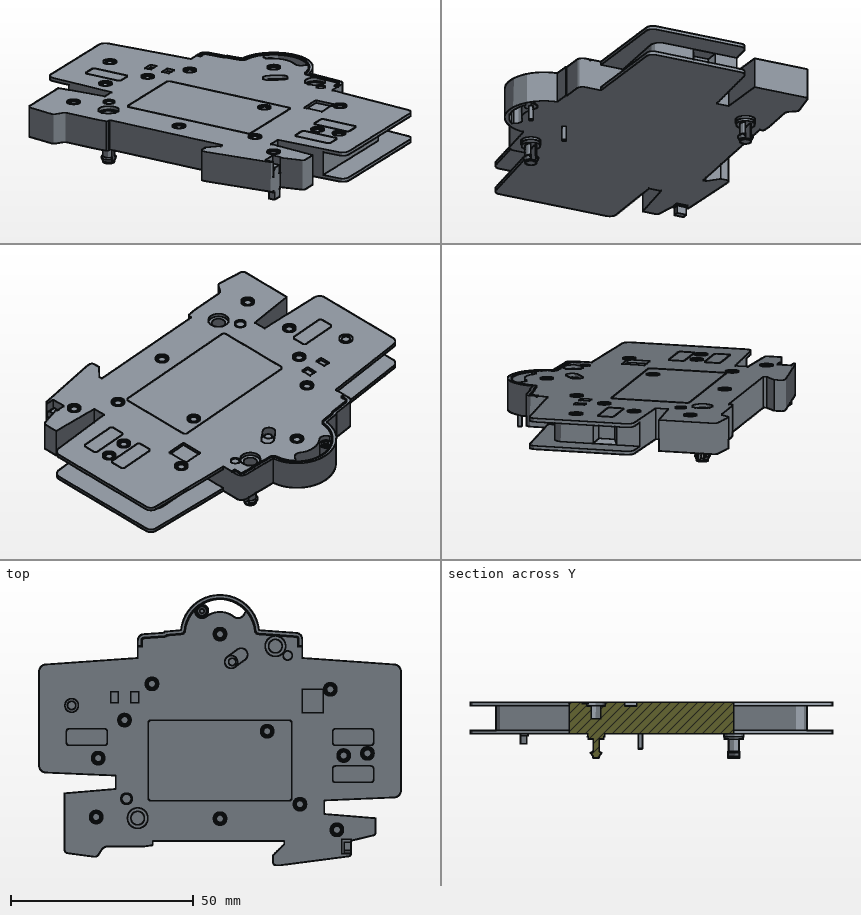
import cadquery as cq
import math

THICK = 8.7
WALL = 1.0
X_TIP = 49.5
FOOT_X = 42.55
HOOD_X = 22.5
WING_TOP_INNER_Y = 50.1
WING_TOP_OUTER_Y = 48.2
WING_CORNER_R = 2.0
SHOULDER_LEFT_Y = 56.5
SHOULDER_RIGHT_Y = 56.85
SHOULDER_R = 1.8

LEFT_WING_BOTTOM_Y = 18.8
RIGHT_WING_BOTTOM_Y = 12.0
SLOT_X = 28.5

RIGHT_FOOT_CORNER = (FOOT_X, 1.7)
LEFT_FOOT_CORNER = (-FOOT_X, -3.2)
LEFT_TOE = (-33.7, -4.4)
LEFT_STEP_Y = -1.5
HOOK_OUTER_X = 35.85
HOOK_OUTER_CORNER = (HOOK_OUTER_X, -4.1)
HOOK_TIP = (14.45, -6.62)
HOOK_FLAT_END_X = 16.5

PIVOT_Y = 56.6
HOOD_R = 10.74
HOOD_WALL = 1.2
HOOD_BASE_Y = 57.7
HOOD_BASE_X = math.sqrt(HOOD_R**2 - (HOOD_BASE_Y - PIVOT_Y)**2)
SHOULDER_STEP_X = -15.3
SHOULDER_STEP_LOW = 57.0
SHOULDER_STEP_HIGH = 57.3

CORE_TOP_Y = 43.4
CORE_CORNER_R = 3.0
GAP_BOTTOM_Y = 10.0
GAP_MARGIN = 5.0

LENS_END_Y = 53.2
LENS_WIDTH = 0.95
SEAM = 0.25
LABEL_DEPTH = 0.1
LABEL_R = 0.7
PLATE_R = 0.8
WINDOW_DEPTH = 0.8
RIVET_RADII = (1.8, 1.45, 1.05)
RIVETS = [
    (0, PIVOT_Y), (-18.6, 43.0), (-26.1, 33.1), (-33.3, 22.7), (-33.85, 6.6), (0, 6.15),
    (21.85, 10.1), (31.95, 3.1), (12.9, 30.05), (30.15, 41.5), (33.8, 23.4), (40.3, 24.0),
]

WINDOWS = [
    (22.5, 28.2, 35.15, 41.5),
    (-29.8, -27.85, 37.8, 40.8),
    (-24.4, -22.2, 37.8, 40.8),
]
RATING_PLATE = (0, 22.05, 39.2, 22.1)
TERMINAL_LABELS = [(-36.4, 28.45), (36.4, 28.45), (36.4, 18.3)]
TERMINAL_LABEL_SIZE = (11.15, 4.5)
DIMPLE_DEPTH = 0.4
DIMPLES = [
    (-40.55, 37.1, 1.15, 1.85),
    (-25.55, 11.6, 1.3, 1.55),
    (18.5, 50.75, 1.25, 1.25),
]

TOGGLE_R = 8.0
TOGGLE_HALF_WIDTH = 1.9
TOGGLE_ANGLE = 38.0
TOGGLE_OUTER_ANGLE = 49.0
PIN_R = 0.62
PIN_END_Z = -4.15
TRIP_PIN = (3.05, 49.0)
TRIP_SLOT_R = 1.75
TRIP_SLOT_SHIFT = (2.75, 2.0)

SNAP_PINS = [(-22.5, 6.3), (15.15, 53.3)]
TOTAL_HEIGHT = 15.3
SNAP_END_Z = THICK - TOTAL_HEIGHT
SNAP_R = 1.62
SNAP_SLOT = 1.4
COLLAR_R = 2.75
COLLAR_Z = -1.45

PARTING_Z = 4.2
NOTCH_X = 33.25
NOTCH_LOW_Y = -3.5
NOTCH_HIGH_Y = 0.5


def at_z(z):
    return cq.Workplane("XY").workplane(offset=z)


def cylinder(x, y, z_low, z_high, radius):
    return at_z(z_low).center(x, y).circle(radius).extrude(z_high - z_low)


def box(x_low, x_high, y_low, y_high, z_low, z_high):
    size = (x_high - x_low, y_high - y_low, z_high - z_low)
    return cq.Workplane("XY").box(*size, centered=False).translate((x_low, y_low, z_low))


def round_upright_edge(solid, x, y, radius):
    """Round the one upright edge that stands at (x, y)."""
    edge = solid.edges("|Z").edges(cq.selectors.NearestToPointSelector((x, y, THICK / 2)))
    return edge.fillet(radius)


def recess(x, y, depth, radius):
    """Round recess cutter in the top face."""
    return cylinder(x, y, THICK - depth, THICK, radius)


def hood_edge(path):
    """Continue a path along the hood, from its left shoulder to its right shoulder."""
    return (
        path.lineTo(-HOOD_X, SHOULDER_LEFT_Y)
        .lineTo(SHOULDER_STEP_X, SHOULDER_STEP_LOW)
        .lineTo(SHOULDER_STEP_X, SHOULDER_STEP_HIGH)
        .lineTo(-HOOD_BASE_X, HOOD_BASE_Y)
        .threePointArc((0, PIVOT_Y + HOOD_R), (HOOD_BASE_X, HOOD_BASE_Y))
        .lineTo(HOOD_X, SHOULDER_RIGHT_Y)
    )


def housing():
    """Full-thickness housing with wings, hood, left foot and rail hook."""
    outline = (
        cq.Workplane("XY")
        .moveTo(-X_TIP, WING_TOP_OUTER_Y)
        .lineTo(-HOOD_X, WING_TOP_INNER_Y)
    )
    outline = (
        hood_edge(outline)
        .lineTo(HOOD_X, WING_TOP_INNER_Y)
        .lineTo(X_TIP, WING_TOP_OUTER_Y)
        .lineTo(X_TIP, RIGHT_WING_BOTTOM_Y)
        .lineTo(SLOT_X, 11.1)
        .lineTo(SLOT_X, 7.45)
        .lineTo(FOOT_X, 6.3)
        .lineTo(*RIGHT_FOOT_CORNER)
        .lineTo(HOOK_OUTER_X, 0.1)
        .lineTo(*HOOK_OUTER_CORNER)
        .lineTo(HOOK_FLAT_END_X, HOOK_TIP[1])
        .lineTo(*HOOK_TIP)
        .lineTo(HOOK_TIP[0], -3.9)
        .lineTo(17.5, -0.9)
        .lineTo(17.5, 0)
        .lineTo(-18.35, 0)
        .lineTo(-18.35, -0.9)
        .lineTo(-18.7, -1.2)
        .lineTo(-20.9, LEFT_STEP_Y)
        .lineTo(-30.65, LEFT_STEP_Y)
        .threePointArc((-31.7, -1.75), (-32.4, -2.5))
        .lineTo(*LEFT_TOE)
        .lineTo(*LEFT_FOOT_CORNER)
        .lineTo(-FOOT_X, 13.1)
        .lineTo(-SLOT_X, 14.3)
        .lineTo(-SLOT_X, 17.9)
        .lineTo(-X_TIP, LEFT_WING_BOTTOM_Y)
        .close()
    )
    solid = outline.extrude(THICK)
    corners = [
        (-X_TIP, WING_TOP_OUTER_Y, WING_CORNER_R),
        (-X_TIP, LEFT_WING_BOTTOM_Y, WING_CORNER_R),
        (X_TIP, WING_TOP_OUTER_Y, WING_CORNER_R),
        (X_TIP, RIGHT_WING_BOTTOM_Y, WING_CORNER_R),
        (-HOOD_X, SHOULDER_LEFT_Y, SHOULDER_R),
        (HOOD_X, SHOULDER_RIGHT_Y, SHOULDER_R),
        (*RIGHT_FOOT_CORNER, 0.8),
        (*HOOK_OUTER_CORNER, 0.8),
        (*HOOK_TIP, 0.9),
        (*LEFT_FOOT_CORNER, 1.1),
        (*LEFT_TOE, 1.2),
    ]
    for x, y, radius in corners:
        solid = round_upright_edge(solid, x, y, radius)
    return solid


def wing_gap(side):
    """Space between the two wing plates, on the side -1 (left) or +1 (right)."""
    far_x = X_TIP + GAP_MARGIN
    top_y = WING_TOP_INNER_Y + GAP_MARGIN
    half = CORE_CORNER_R * math.sqrt(0.5)
    arc_x = FOOT_X - CORE_CORNER_R
    arc_y = CORE_TOP_Y - CORE_CORNER_R
    profile = (
        at_z(WALL)
        .moveTo(side * far_x, GAP_BOTTOM_Y)
        .lineTo(side * FOOT_X, GAP_BOTTOM_Y)
        .lineTo(side * FOOT_X, arc_y)
        .threePointArc((side * (arc_x + half), arc_y + half), (side * arc_x, CORE_TOP_Y))
        .lineTo(side * HOOD_X, CORE_TOP_Y)
        .lineTo(side * HOOD_X, top_y)
        .lineTo(side * far_x, top_y)
        .close()
    )
    return profile.extrude(THICK - 2 * WALL)


def cable_entry():
    """Tapered square pocket in the left end of the core."""
    mid_y = 28.4
    outer = 6.6
    inner = 4.5
    depth = 2.0
    return (
        cq.Workplane("YZ", origin=(-FOOT_X, mid_y, THICK / 2))
        .rect(outer, outer)
        .workplane(offset=depth)
        .rect(inner, inner)
        .loft()
    )


def lens_seam():
    """Narrow groove that follows the hood edge and runs out at both lower ends."""
    depth_z = THICK - SEAM
    low_y = LENS_END_Y - 4 * LENS_WIDTH

    def hood_region(inset):
        region = hood_edge(at_z(depth_z).moveTo(-HOOD_X, low_y)).lineTo(HOOD_X, low_y).close()
        region = region.offset2D(-inset).extrude(SEAM)
        for x, y in ((-HOOD_X, SHOULDER_LEFT_Y), (HOOD_X, SHOULDER_RIGHT_Y)):
            region = round_upright_edge(region, x, y, SHOULDER_R - inset)
        return region

    groove = hood_region(LENS_WIDTH).cut(hood_region(LENS_WIDTH + SEAM))
    groove = groove.intersect(box(-HOOD_X, HOOD_X, LENS_END_Y, PIVOT_Y + HOOD_R, depth_z, THICK))
    for side in (-1, 1):
        x_ends = sorted((side * HOOD_X, side * (HOOD_X - LENS_WIDTH - SEAM)))
        groove = groove.union(box(*x_ends, LENS_END_Y, LENS_END_Y + SEAM, depth_z, THICK))
    return groove


def toggle_point(angle):
    """Point on the pin path, at an angle in degrees from +Y toward +X."""
    a = math.radians(angle)
    return (TOGGLE_R * math.sin(a), PIVOT_Y + TOGGLE_R * math.cos(a))


def sector(half_angle, radius):
    """Pie slice about the pivot, symmetric about the Y axis."""
    x = radius * math.sin(math.radians(half_angle))
    y = PIVOT_Y + radius * math.cos(math.radians(half_angle))
    slice_face = (
        cq.Workplane("XY")
        .moveTo(0, PIVOT_Y)
        .lineTo(-x, y)
        .threePointArc((0, PIVOT_Y + radius), (x, y))
        .close()
    )
    return slice_face.extrude(THICK)


def toggle_opening():
    """Curved through slot about the pivot, bounded outside by the hood wall."""
    inner_r = TOGGLE_R - TOGGLE_HALF_WIDTH
    opening = sector(TOGGLE_ANGLE, TOGGLE_R).cut(cylinder(0, PIVOT_Y, 0, THICK, inner_r))
    outer = sector(TOGGLE_OUTER_ANGLE, HOOD_R - HOOD_WALL)
    opening = opening.union(outer.cut(cylinder(0, PIVOT_Y, 0, THICK, TOGGLE_R)))
    for angle in (-TOGGLE_ANGLE, TOGGLE_ANGLE):
        x, y = toggle_point(angle)
        opening = opening.union(cylinder(x, y, 0, THICK, TOGGLE_HALF_WIDTH))
    return opening.intersect(cylinder(0, PIVOT_Y, 0, THICK, HOOD_R - HOOD_WALL))


def drive_pin(x, y, z_top):
    return cylinder(x, y, PIN_END_Z, z_top, PIN_R).faces("<Z").chamfer(0.2)


def toggle_boss():
    """Stepped boss at the left end of the toggle opening, with its drive pin below."""
    x, y = toggle_point(-TOGGLE_ANGLE)
    boss_r = 1.75
    inner_r = 1.25
    hole_r = 0.6
    top_z = THICK - WALL
    step = 0.4
    boss = cylinder(x, y, 0, top_z - step, boss_r)
    boss = boss.union(cylinder(x, y, 0, top_z, inner_r))
    boss = boss.cut(cylinder(x, y, top_z - 2 * step, top_z, hole_r))
    return boss.union(drive_pin(x, y, step))


def trip_slot():
    """Shallow oblique slot with a deeper bore around the trip pin."""
    x, y = TRIP_PIN
    shift_x, shift_y = TRIP_SLOT_SHIFT
    slot_depth = 1.0
    bore_depth = 3.0
    slot = (
        at_z(THICK - slot_depth)
        .center(x + shift_x / 2, y + shift_y / 2)
        .transformed(rotate=(0, 0, math.degrees(math.atan2(shift_y, shift_x))))
        .slot2D(math.hypot(shift_x, shift_y) + 2 * TRIP_SLOT_R, 2 * TRIP_SLOT_R)
        .extrude(slot_depth)
    )
    bore = recess(x, y, bore_depth, TRIP_SLOT_R)
    stub_r = 1.0
    stub_x = x + 0.3
    stub = cylinder(stub_x, y, THICK - bore_depth, THICK - 1.5 * slot_depth, stub_r)
    return slot.union(bore).cut(stub)


def rivet_recess(x, y):
    """Round recess in three concentric steps, deepest in the middle."""
    step = 0.15
    cutter = recess(x, y, step, RIVET_RADII[0])
    for level, radius in enumerate(RIVET_RADII[1:], start=2):
        cutter = cutter.union(recess(x, y, level * step, radius))
    return cutter


def rounded_recess(x, y, length, width, corner_r):
    """Very shallow label field."""
    field = at_z(THICK - LABEL_DEPTH).center(x, y).rect(length, width).extrude(LABEL_DEPTH)
    return field.edges("|Z").fillet(corner_r)


def window(x_low, x_high, y_low, y_high):
    return box(x_low, x_high, y_low, y_high, THICK - WINDOW_DEPTH, THICK)


def snap_bore(x, y):
    """Counterbored blind hole above a snap pin."""
    head_depth = 1.0
    head_r = 2.8
    bore_depth = 4.5
    bore_r = 1.85
    return recess(x, y, head_depth, head_r).union(recess(x, y, bore_depth, bore_r))


def snap_pin(x, y):
    """Collar, split shank and two barbs that point along Y."""
    barb_top_z = -4.85
    barb_low_z = -6.1
    barb_r = 2.1
    cap = 0.3
    collar_step_z = COLLAR_Z / 2
    pin = cylinder(x, y, collar_step_z, 0, COLLAR_R)
    pin = pin.union(cylinder(x, y, COLLAR_Z, collar_step_z, COLLAR_R - 0.2))
    shank = cylinder(x, y, SNAP_END_Z, COLLAR_Z, SNAP_R).faces("<Z").chamfer(0.15)
    barb = (
        cq.Workplane("XZ")
        .polyline([(0, barb_top_z), (SNAP_R, barb_top_z + 0.1), (barb_r, barb_top_z - 0.3),
                   (SNAP_R, barb_low_z), (0, barb_low_z)])
        .close()
        .revolve(360, (0, 0), (0, 1))
        .translate((x, y, 0))
    )
    barb = barb.intersect(
        box(x - SNAP_R, x + SNAP_R, y - barb_r, y + barb_r, barb_low_z, barb_top_z + 0.2)
    )
    slot = box(x - barb_r, x + barb_r, y - SNAP_SLOT / 2, y + SNAP_SLOT / 2,
               SNAP_END_Z + cap, COLLAR_Z)
    return pin.union(shank.union(barb).cut(slot))


def latch_notch():
    """Open pocket in the outer corner of the rail hook, down to the parting plane."""
    return box(NOTCH_X, HOOK_OUTER_X, NOTCH_LOW_Y, NOTCH_HIGH_Y, PARTING_Z, THICK)


def latch():
    """Lever standing in the notch and the stepped tab below the housing."""
    lever_x = NOTCH_X + 0.65
    tab_x = NOTCH_X + 0.8
    ledge_x = NOTCH_X + 0.45
    tab_end_z = -2.7
    ledge_z = -0.5
    lever = box(lever_x, HOOK_OUTER_X, -3.3, -0.3, PARTING_Z, THICK - 2 * WALL)
    lever = lever.edges(">Z and <Y").chamfer(0.8)
    tab = box(tab_x, HOOK_OUTER_X, -2.9, -0.1, tab_end_z, 0)
    ledge = box(ledge_x, HOOK_OUTER_X, -3.2, 0.2, ledge_z, 0)
    return lever.union(tab).union(ledge)


result = housing()
for side in (-1, 1):
    result = result.cut(wing_gap(side))
result = result.cut(cable_entry())
result = result.cut(toggle_opening())
result = result.cut(lens_seam())
result = result.cut(trip_slot())
result = result.cut(latch_notch())

for x, y in RIVETS:
    result = result.cut(rivet_recess(x, y))
for x, y, radius, rim_radius in DIMPLES:
    result = result.cut(recess(x, y, DIMPLE_DEPTH, radius))
    result = result.cut(recess(x, y, DIMPLE_DEPTH / 2, rim_radius))
result = result.cut(rounded_recess(*RATING_PLATE, PLATE_R))
for x, y in TERMINAL_LABELS:
    result = result.cut(rounded_recess(x, y, *TERMINAL_LABEL_SIZE, LABEL_R))
for limits in WINDOWS:
    result = result.cut(window(*limits))

for x, y in SNAP_PINS:
    result = result.cut(snap_bore(x, y)).union(snap_pin(x, y))
result = result.union(toggle_boss())
result = result.union(drive_pin(*TRIP_PIN, 0))
result = result.union(latch())